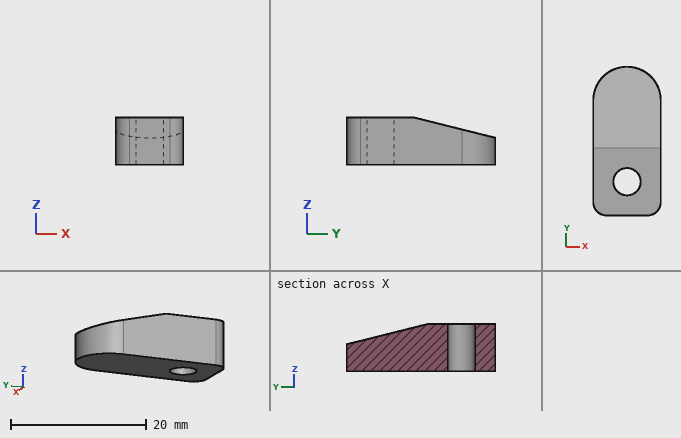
import cadquery as cq

length = 22.0
width = 10.0
height = 7.0
tip_height = 4.0
flat_length = 10.0
corner_radius = 2.0
hole_diameter = 4.0
hole_center_y = width / 2

tip_radius = width / 2
tip_center_y = length - tip_radius


def plan_body():
    """Full-height block with a round tip at +Y and filleted corners at -Y."""
    half_width = width / 2
    block = (
        cq.Workplane("XY")
        .moveTo(-half_width, 0)
        .lineTo(half_width, 0)
        .lineTo(half_width, tip_center_y)
        .threePointArc((0, length), (-half_width, tip_center_y))
        .close()
        .extrude(height)
    )
    return block.faces("<Y").edges("|Z").fillet(corner_radius)


def side_profile():
    """Side outline, flat over the hole and sloping down to the tip, across the full width."""
    return (
        cq.Workplane("YZ")
        .polyline([
            (0, 0),
            (length, 0),
            (length, tip_height),
            (flat_length, height),
            (0, height),
        ])
        .close()
        .extrude(width / 2, both=True)
    )


def mounting_hole():
    """Cylinder that cuts the vertical through hole."""
    return cq.Workplane("XY").center(0, hole_center_y).circle(hole_diameter / 2).extrude(height)


result = plan_body().intersect(side_profile()).cut(mounting_hole())